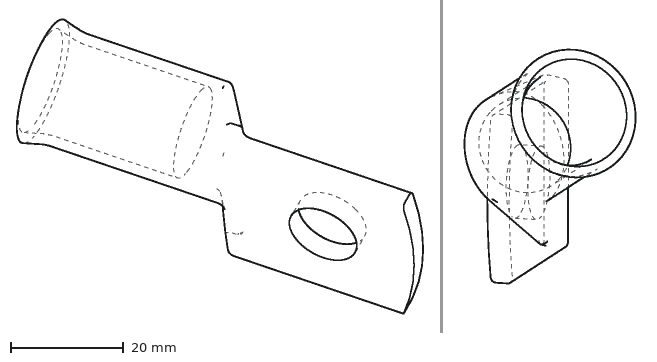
import cadquery as cq
import math

length = 77.6
width = 30.6
depth = 23.7

tube_radius = 10.5
wall = 1.95
bore_radius = tube_radius - wall
bore_depth = 29.5
rim_radius = 11.6
rim_inner_radius = 9.7
rim_setback = 0.55
flare_end = 4.65
flare_blend_radius = 5.4

palm_back = rim_radius - depth
palm_thickness = 4.0
palm_front = palm_back + palm_thickness
web_angle = math.radians(60)
upper_bend_x = 42.9
lower_bend_x = 41.7
upper_bend_radius = 2.3
lower_bend_radius = 1.8
shoulder_y = -6.8
end_arc_rise = 2.25

bolt_hole_x = 60.0
bolt_hole_diameter = 13.0
edge_radius = 1.0
web_blend_radius = 2.0


def web_x(bend_x, bend_y, y):
    """X position at height y on a web face that bends at (bend_x, bend_y)."""
    return bend_x - (y - bend_y) / math.tan(web_angle)


def flared_bar(mouth_points, radius, bend_x, end_x, blend_radius):
    """Round bar along X that widens to its mouth, with a blend where the flare begins."""
    bar = (
        cq.Workplane("XY")
        .polyline([(0, 0)] + mouth_points)
        .lineTo(bend_x, radius)
        .lineTo(end_x, radius)
        .lineTo(end_x, 0)
        .close()
        .revolve(360, (0, 0, 0), (1, 0, 0))
    )
    bend_edge = cq.selectors.BoxSelector(
        (bend_x - rim_setback, -depth, -depth),
        (bend_x + rim_setback, depth, depth),
        boundingbox=True,
    )
    return bar.edges(bend_edge).fillet(blend_radius)


def make_tube():
    """Solid flared tube blank, its sloped end buried halfway through the web."""
    end_top_y = rim_radius
    end_bottom_y = -rim_radius
    web_middle_x = (lower_bend_x + web_x(upper_bend_x, palm_front, palm_back)) / 2
    sloped_block = (
        cq.Workplane("XY")
        .moveTo(0, end_top_y)
        .lineTo(web_x(web_middle_x, palm_back, end_top_y), end_top_y)
        .lineTo(web_x(web_middle_x, palm_back, end_bottom_y), end_bottom_y)
        .lineTo(0, end_bottom_y)
        .close()
        .extrude(rim_radius, both=True)
    )
    rim = [(0, rim_inner_radius), (rim_setback, rim_radius)]
    bar = flared_bar(rim, tube_radius, flare_end, length, flare_blend_radius)
    return bar.intersect(sloped_block)


def make_bore():
    """Blind bore whose mouth follows the flare at a constant wall."""
    flare_slope = (rim_radius - tube_radius) / (flare_end - rim_setback)
    bend_x = (rim_inner_radius - bore_radius) / flare_slope
    blend_radius = flare_blend_radius + wall
    return flared_bar([(0, rim_inner_radius)], bore_radius, bend_x, bore_depth, blend_radius)


def make_lug():
    """Palm and web: a bent strip trimmed to its tapering section and rounded end."""
    half_width = width / 2
    shoulder_angle = math.atan2(half_width, shoulder_y)
    tangent_angle = shoulder_angle - math.acos(tube_radius / math.hypot(half_width, shoulder_y))
    tangent_y = tube_radius * math.cos(tangent_angle)
    tangent_z = tube_radius * math.sin(tangent_angle)
    strip_top = 2 * tube_radius
    strip = (
        cq.Workplane("XY")
        .moveTo(web_x(lower_bend_x, palm_back, strip_top), strip_top)
        .lineTo(lower_bend_x, palm_back)
        .lineTo(length, palm_back)
        .lineTo(length, palm_front)
        .lineTo(upper_bend_x, palm_front)
        .lineTo(web_x(upper_bend_x, palm_front, strip_top), strip_top)
        .close()
        .extrude(half_width, both=True)
    )
    section = (
        cq.Workplane("YZ")
        .moveTo(palm_back, -half_width)
        .lineTo(shoulder_y, -half_width)
        .lineTo(tangent_y, -tangent_z)
        .threePointArc((tube_radius, 0), (tangent_y, tangent_z))
        .lineTo(shoulder_y, half_width)
        .lineTo(palm_back, half_width)
        .close()
        .extrude(length)
    )
    lug = strip.intersect(section)
    lug = round_bend(lug, upper_bend_x, palm_front, upper_bend_radius)
    lug = round_bend(lug, lower_bend_x, palm_back, lower_bend_radius)
    return round_outline(lug).intersect(make_end_outline())


def make_end_outline():
    """Block whose arc at +X trims the end of the palm."""
    end_corner_x = length - end_arc_rise
    return (
        cq.Workplane("XZ", origin=(0, -depth, 0))
        .moveTo(0, -width / 2)
        .lineTo(end_corner_x, -width / 2)
        .threePointArc((length, 0), (end_corner_x, width / 2))
        .lineTo(0, width / 2)
        .close()
        .extrude(-2 * depth)
    )


def round_bend(body, x, y, radius):
    """Round the full-width bend edge that crosses the strip at (x, y)."""
    tolerance = 0.1
    corner = cq.selectors.BoxSelector(
        (x - tolerance, y - tolerance, -width),
        (x + tolerance, y + tolerance, width),
    )
    return body.edges("|Z").edges(corner).fillet(radius)


def round_outline(lug):
    """Round the outer edges of both broad faces of the strip."""
    palm_edges = cq.selectors.BoxSelector(
        (0, -depth, -width),
        (length, shoulder_y - edge_radius, width),
    )
    web_edges = lug.edges("not (|X or |Y or |Z)")
    return web_edges.add(lug.edges("|X").edges(palm_edges)).fillet(edge_radius)


def blend_web_to_tube(body):
    """Fill the concave corner where the back of the web meets the tube."""
    corner_x = web_x(lower_bend_x, palm_back, -tube_radius)
    corner = cq.selectors.NearestToPointSelector((corner_x, -tube_radius, 0))
    return body.edges("%ELLIPSE").edges(corner).fillet(web_blend_radius)


bolt_hole = (
    cq.Workplane("XZ", origin=(bolt_hole_x, 0, 0))
    .circle(bolt_hole_diameter / 2)
    .extrude(depth)
)

result = make_lug().union(make_tube())
result = blend_web_to_tube(result)
result = result.cut(make_bore()).cut(bolt_hole)